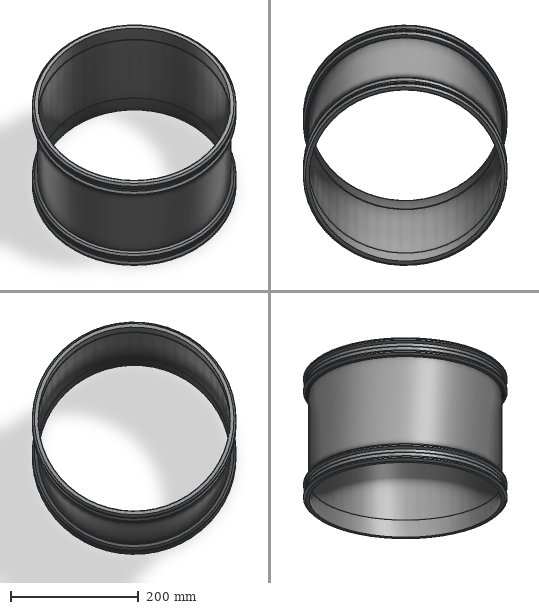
import cadquery as cq

OUTER_DIAMETER = 318.5
HEIGHT = 209.0

BORE_DIAMETER = 300.0
TUBE_DIAMETER = 302.0

BAND_DIAMETER = 311.7
COLLAR_HEIGHT = 29.3
BEAD_HEIGHT = 9.0
CREST_HEIGHT = 2.2
RIB_DIAMETER = 312.7
RIB_HEIGHT = 0.5

BORE_RADIUS = BORE_DIAMETER / 2
TUBE_RADIUS = TUBE_DIAMETER / 2
BAND_RADIUS = BAND_DIAMETER / 2
RIB_RADIUS = RIB_DIAMETER / 2
CREST_RADIUS = OUTER_DIAMETER / 2


def add_bead(profile, bottom):
    """Continue the profile up over one bead: sloped flank, flat crest, sloped flank."""
    middle = bottom + BEAD_HEIGHT / 2
    return (
        profile.lineTo(BAND_RADIUS, bottom)
        .lineTo(CREST_RADIUS, middle - CREST_HEIGHT / 2)
        .lineTo(CREST_RADIUS, middle + CREST_HEIGHT / 2)
        .lineTo(BAND_RADIUS, bottom + BEAD_HEIGHT)
    )


def add_rib(profile, middle):
    """Continue the profile up over the square rib on the band."""
    bottom = middle - RIB_HEIGHT / 2
    top = middle + RIB_HEIGHT / 2
    return (
        profile.lineTo(BAND_RADIUS, bottom)
        .lineTo(RIB_RADIUS, bottom)
        .lineTo(RIB_RADIUS, top)
        .lineTo(BAND_RADIUS, top)
    )


def make_collar(bottom):
    """Collar around Z, revolved from its profile."""
    top = bottom + COLLAR_HEIGHT
    profile = cq.Workplane("XZ").moveTo(BORE_RADIUS, bottom)
    profile = add_bead(profile, bottom)
    profile = add_rib(profile, bottom + COLLAR_HEIGHT / 2)
    profile = add_bead(profile, top - BEAD_HEIGHT)
    profile = profile.lineTo(BORE_RADIUS, top).close()
    return profile.revolve(360, (0, 0, 0), (0, 1, 0))


def make_sleeve():
    """Thin tube that carries the lower collar and ends against the upper collar."""
    tube = (
        cq.Workplane("XY")
        .workplane(offset=COLLAR_HEIGHT)
        .circle(TUBE_RADIUS)
        .circle(BORE_RADIUS)
        .extrude(HEIGHT - 2 * COLLAR_HEIGHT)
    )
    return make_collar(0).union(tube, clean=False)


sleeve = make_sleeve()
upper_collar = make_collar(HEIGHT - COLLAR_HEIGHT)

result = cq.Compound.makeCompound([sleeve.val(), upper_collar.val()])